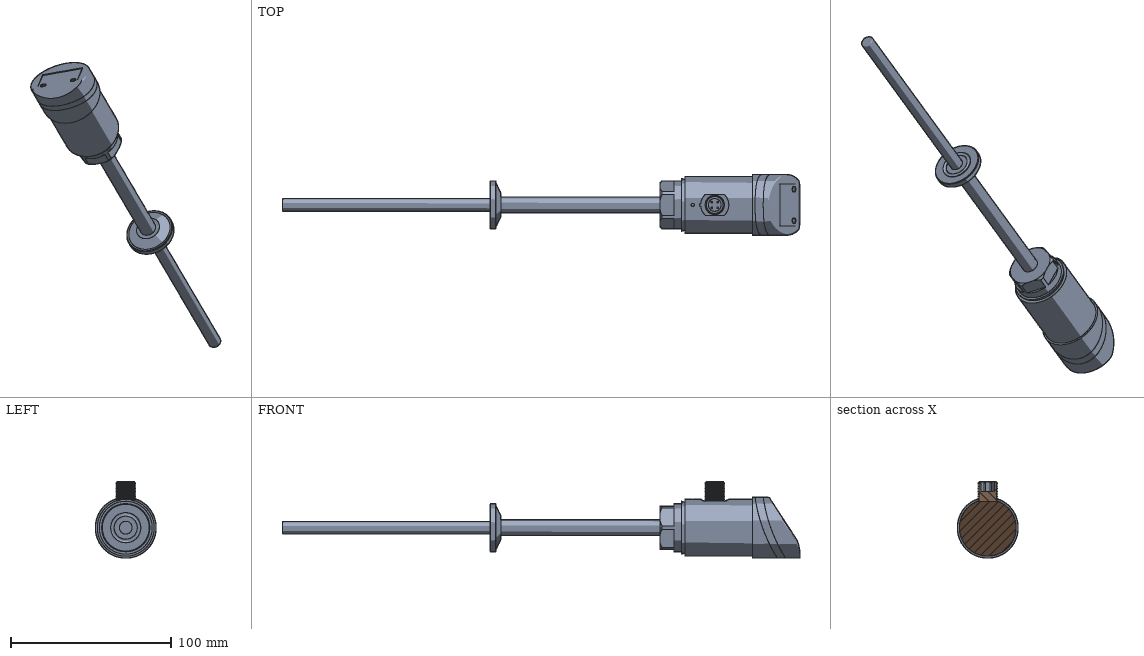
import cadquery as cq
import math


TIP_DIAMETER = 8
TIP_FILLET = 0.7
STEM_DIAMETER = 10
FLANGE_START = 129.3
FLANGE_DIAMETER = 30
FLANGE_DISC_THICKNESS = 3.9
FLANGE_RIM_CHAMFER = 0.4
FLANGE_CONE_DIAMETER = 27
FLANGE_HUB_DIAMETER = 15
FLANGE_CONE_LENGTH = 2.9
GASKET_GROOVE_DIAMETER = 16.6
GASKET_GROOVE_RADIUS = 1.1

FITTING_START = 235.2
FITTING_DIAMETER = 30
FITTING_CHAMFER = 1.3
HEX_LENGTH = 8.7
HEX_ACROSS_FLATS = 27
NECK_END = 248.8
SHOULDER_START_DIAMETER = 33
SHOULDER_END_DIAMETER = 31.7
SHOULDER_LENGTH = 2

HOUSING_DIAMETER = 35.5
HOUSING_END = 292.8
INDICATOR_HOLE_X = 255.7
INDICATOR_HOLE_DIAMETER = 2
INDICATOR_HOLE_DEPTH = 1

CONNECTOR_X = 269.4
CONNECTOR_TOP = 28.7
CONNECTOR_CHAMFER = 0.7
THREAD_DIAMETER = 12
THREAD_PITCH = 1
THREAD_DEPTH = 0.6
CONNECTOR_SEAT_DIAMETER = 17.5
CONNECTOR_SEAT_Z = 16.5
KEY_NOTCH_DIAMETER = 1.69
SOCKET_DIAMETER = 8
SOCKET_DEPTH = 6
PIN_COUNT = 4
PIN_DIAMETER = 1
PIN_CIRCLE_DIAMETER = 5
PIN_LENGTH = 5

CAP_DIAMETER = 38
CAP_END = 322.55
SLANT_TOP_X = 303.3
SLANT_ANGLE = 33
SLANT_BOTTOM_X = 320.7
NOSE_MIDDLE = (322.03, -12)
NOSE_BOTTOM_Z = -17
SLANT_EDGE_RADIUS = 1.2

JOINT_TOP_X = 294.5
JOINT_MIDDLE = (300.2, -2.7)
JOINT_BOTTOM_X = 308.4
STRIPE_WIDTH = 5.1

DISPLAY_TOP_X = 310
DISPLAY_WIDTH = 26
DISPLAY_LENGTH = 17.4
DISPLAY_DEPTH = 0.6
BUTTON_X = 319
BUTTON_SPACING = 19.5
BUTTON_DIAMETER = 3.5
BUTTON_DEPTH = 0.5

CAP_RADIUS = CAP_DIAMETER / 2
SLANT_RUN = math.tan(math.radians(SLANT_ANGLE))
FLANGE_DISC_END = FLANGE_START + FLANGE_DISC_THICKNESS
FLANGE_END = FLANGE_DISC_END + FLANGE_CONE_LENGTH
HOUSING_START = NECK_END + SHOULDER_LENGTH


def rod(diameter, start, end):
    """Cylinder on the X axis between two X positions."""
    return cq.Workplane("YZ", origin=(start, 0, 0)).circle(diameter / 2).extrude(end - start)


def cone(start_diameter, end_diameter, start, end):
    """Cone frustum on the X axis between two X positions."""
    profile = [(start, 0), (start, start_diameter / 2), (end, end_diameter / 2), (end, 0)]
    return cq.Workplane("XY").polyline(profile).close().revolve(360, (0, 0, 0), (1, 0, 0))


def upright(diameter, x, y, bottom, top):
    """Cylinder along Z at the given X and Y, between two heights."""
    return cq.Workplane("XY", origin=(x, y, bottom)).circle(diameter / 2).extrude(top - bottom)


def make_probe():
    tip = rod(TIP_DIAMETER, 0, FLANGE_START).faces("<X").edges().fillet(TIP_FILLET)
    disc = rod(FLANGE_DIAMETER, FLANGE_START, FLANGE_DISC_END).edges().chamfer(FLANGE_RIM_CHAMFER)
    hub = cone(FLANGE_CONE_DIAMETER, FLANGE_HUB_DIAMETER, FLANGE_DISC_END, FLANGE_END)
    stem = rod(STEM_DIAMETER, FLANGE_END, FITTING_START)
    gasket_groove = (
        cq.Workplane("XY")
        .center(FLANGE_START, GASKET_GROOVE_DIAMETER / 2)
        .circle(GASKET_GROOVE_RADIUS)
        .revolve(360, (0, -GASKET_GROOVE_DIAMETER / 2, 0), (1, -GASKET_GROOVE_DIAMETER / 2, 0))
    )
    return tip.union(disc.cut(gasket_groove)).union(hub).union(stem)


def make_fitting():
    hex_end = FITTING_START + HEX_LENGTH
    corner_diameter = HEX_ACROSS_FLATS / math.cos(math.pi / 6)
    turned_blank = rod(FITTING_DIAMETER, FITTING_START, hex_end).faces("<X").chamfer(FITTING_CHAMFER)
    hexagon = (
        cq.Workplane("YZ", origin=(FITTING_START, 0, 0))
        .polygon(6, corner_diameter)
        .extrude(HEX_LENGTH)
    )
    neck = rod(FITTING_DIAMETER, hex_end, NECK_END)
    shoulder = cone(SHOULDER_START_DIAMETER, SHOULDER_END_DIAMETER, NECK_END, HOUSING_START)
    return turned_blank.intersect(hexagon).union(neck).union(shoulder)


def make_housing():
    body = rod(HOUSING_DIAMETER, HOUSING_START, HOUSING_END)
    top = HOUSING_DIAMETER / 2
    connector_seat = upright(CONNECTOR_SEAT_DIAMETER, CONNECTOR_X, 0, CONNECTOR_SEAT_Z, top)
    indicator_hole = upright(
        INDICATOR_HOLE_DIAMETER, INDICATOR_HOLE_X, 0, top - INDICATOR_HOLE_DEPTH, top
    )
    key_notch = upright(
        KEY_NOTCH_DIAMETER, CONNECTOR_X - CONNECTOR_SEAT_DIAMETER / 2, 0, CONNECTOR_SEAT_Z, top
    )
    return body.cut(connector_seat).cut(key_notch).cut(indicator_hole)


def make_connector():
    radius = THREAD_DIAMETER / 2
    height = CONNECTOR_TOP - CONNECTOR_SEAT_Z
    turns = int((height - CONNECTOR_CHAMFER) / THREAD_PITCH)
    outline = [(0, 0), (radius, 0)]
    for turn in range(turns):
        crest = turn * THREAD_PITCH
        outline.append((radius - THREAD_DEPTH, crest + THREAD_PITCH / 2))
        outline.append((radius, crest + THREAD_PITCH))
    outline.append((radius, height - CONNECTOR_CHAMFER))
    outline.append((radius - CONNECTOR_CHAMFER, height))
    outline.append((0, height))
    shell = (
        cq.Workplane("XZ", origin=(CONNECTOR_X, 0, CONNECTOR_SEAT_Z))
        .polyline(outline)
        .close()
        .revolve(360, (0, 0, 0), (0, 1, 0))
    )
    floor = CONNECTOR_TOP - SOCKET_DEPTH
    connector = shell.cut(upright(SOCKET_DIAMETER, CONNECTOR_X, 0, floor, CONNECTOR_TOP))
    for index in range(PIN_COUNT):
        angle = 2 * math.pi * (index + 0.5) / PIN_COUNT
        pin_x = CONNECTOR_X + PIN_CIRCLE_DIAMETER / 2 * math.cos(angle)
        pin_y = PIN_CIRCLE_DIAMETER / 2 * math.sin(angle)
        connector = connector.union(upright(PIN_DIAMETER, pin_x, pin_y, floor, floor + PIN_LENGTH))
    return connector


def slant_plane(x):
    """Workplane on the slanted face at the given X: local X runs along +Y, local Y runs uphill."""
    z = CAP_RADIUS - (x - SLANT_TOP_X) / SLANT_RUN
    angle = math.radians(SLANT_ANGLE)
    return cq.Plane((x, 0, z), (0, 1, 0), (math.cos(angle), 0, math.sin(angle)))


def make_cap_blank():
    slant_foot_x = SLANT_TOP_X + CAP_DIAMETER * SLANT_RUN
    full_slant = (
        cq.Workplane("XZ")
        .polyline(
            [
                (HOUSING_END, -CAP_RADIUS),
                (HOUSING_END, CAP_RADIUS),
                (SLANT_TOP_X, CAP_RADIUS),
                (slant_foot_x, -CAP_RADIUS),
            ]
        )
        .close()
        .extrude(CAP_RADIUS, both=True)
    )
    slanted_rod = rod(CAP_DIAMETER, HOUSING_END, slant_foot_x).intersect(full_slant)
    slanted_rod = slanted_rod.faces("not |X").faces("%PLANE").edges().fillet(SLANT_EDGE_RADIUS)

    slant_bottom = slant_plane(SLANT_BOTTOM_X).origin
    nose_side = (
        cq.Workplane("XZ")
        .moveTo(HOUSING_END, -CAP_RADIUS)
        .lineTo(HOUSING_END, CAP_RADIUS)
        .lineTo(SLANT_BOTTOM_X, CAP_RADIUS)
        .lineTo(slant_bottom.x, slant_bottom.z)
        .threePointArc(NOSE_MIDDLE, (CAP_END, NOSE_BOTTOM_Z))
        .lineTo(CAP_END, -CAP_RADIUS)
        .close()
        .extrude(CAP_RADIUS, both=True)
    )
    return slanted_rod.intersect(nose_side)


def behind_joint(offset):
    """Everything on the -X side of a curved joint, shifted along X by the offset."""
    return (
        cq.Workplane("XZ")
        .moveTo(HOUSING_END, -CAP_RADIUS)
        .lineTo(HOUSING_END, CAP_RADIUS)
        .lineTo(JOINT_TOP_X + offset, CAP_RADIUS)
        .threePointArc(
            (JOINT_MIDDLE[0] + offset, JOINT_MIDDLE[1]), (JOINT_BOTTOM_X + offset, -CAP_RADIUS)
        )
        .close()
        .extrude(CAP_RADIUS, both=True)
    )


def cut_display_recess(head):
    slant = slant_plane(DISPLAY_TOP_X)
    upper_edge = slant.origin
    lower_edge = slant.toWorldCoords((0, -DISPLAY_LENGTH))
    upper_floor = slant.toWorldCoords((0, 0, -DISPLAY_DEPTH))
    recess = (
        cq.Workplane("XZ")
        .polyline([(point.x, point.z) for point in (upper_edge, lower_edge, upper_floor)])
        .close()
        .extrude(DISPLAY_WIDTH / 2, both=True)
    )
    return head.cut(recess)


def cut_buttons(head):
    buttons = (
        cq.Workplane(slant_plane(BUTTON_X))
        .pushPoints([(-BUTTON_SPACING / 2, 0), (BUTTON_SPACING / 2, 0)])
        .circle(BUTTON_DIAMETER / 2)
        .extrude(-BUTTON_DEPTH)
    )
    return head.cut(buttons)


probe = make_probe()
fitting = make_fitting()
housing = make_housing()
connector = make_connector()

cap_blank = make_cap_blank()
collar_region = behind_joint(0)
stripe_region = behind_joint(STRIPE_WIDTH)
collar = cap_blank.intersect(collar_region)
stripe = cap_blank.intersect(stripe_region).cut(collar_region)
display_head = cut_buttons(cut_display_recess(cap_blank.cut(stripe_region)))

bodies = [probe, fitting, housing, connector, collar, stripe, display_head]
result = cq.Compound.makeCompound([body.val() for body in bodies])